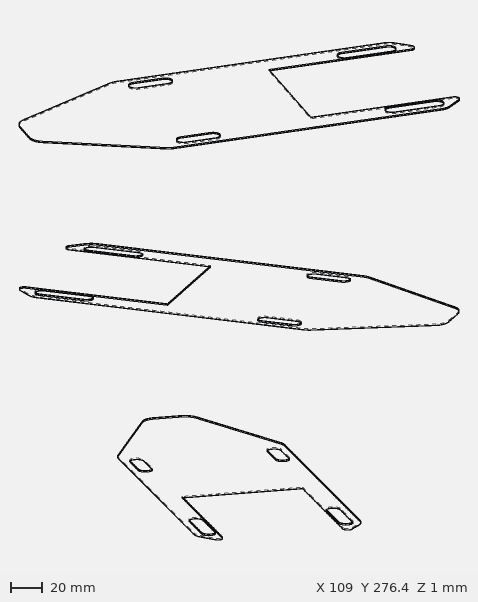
import cadquery as cq
import math

width = 109.0
length = 276.43
thickness = 1.0

nose_width = 30.0
taper_length = 78.3
large_radius = 10.0

arm_width = 15.0
notch_floor_y = 178.0
tip_slope_rise = 17.5
tip_radius = 3.0

slot_width = 9.0
slot_spacing = 90.0
front_slot_length = 29.0
rear_slot_length = 39.0
front_slot_y = 100.5
slot_pair_distance = 145.0

rear_slot_y = front_slot_y + slot_pair_distance
half_width = width / 2
half_nose = nose_width / 2
half_notch = half_width - arm_width

tip_slope = tip_slope_rise / arm_width
rounding_loss = tip_radius * (tip_slope + math.hypot(1, tip_slope) - 1)
point_y = length + rounding_loss
shoulder_y = point_y - tip_slope_rise


def round_corners(plate, corners, radius):
    """Round the upright edges at the given (x, y) corners and at their mirror images."""
    for x, y in corners:
        for side in (-1, 1):
            edge = cq.selectors.NearestToPointSelector((side * x, y, thickness / 2))
            plate = plate.edges("|Z").edges(edge).fillet(radius)
    return plate


def make_plate():
    """Forked plate with a tapered nose and rounded outer corners."""
    right_side = [
        (half_nose, 0),
        (half_width, taper_length),
        (half_width, shoulder_y),
        (half_notch, point_y),
        (half_notch, notch_floor_y),
    ]
    left_side = [(-x, y) for x, y in reversed(right_side)]
    plate = cq.Workplane("XY").polyline(right_side + left_side).close().extrude(thickness)
    nose_and_shoulder_corners = right_side[:3]
    tip_corners = right_side[3:4]
    plate = round_corners(plate, nose_and_shoulder_corners, large_radius)
    return round_corners(plate, tip_corners, tip_radius)


def cut_slot_pair(plate, y, slot_length):
    """Cut two lengthwise through slots centred at the given Y."""
    half_spacing = slot_spacing / 2
    slots = (
        cq.Workplane("XY")
        .pushPoints([(-half_spacing, y), (half_spacing, y)])
        .slot2D(slot_length, slot_width, 90)
        .extrude(thickness)
    )
    return plate.cut(slots)


result = make_plate()
result = cut_slot_pair(result, front_slot_y, front_slot_length)
result = cut_slot_pair(result, rear_slot_y, rear_slot_length)